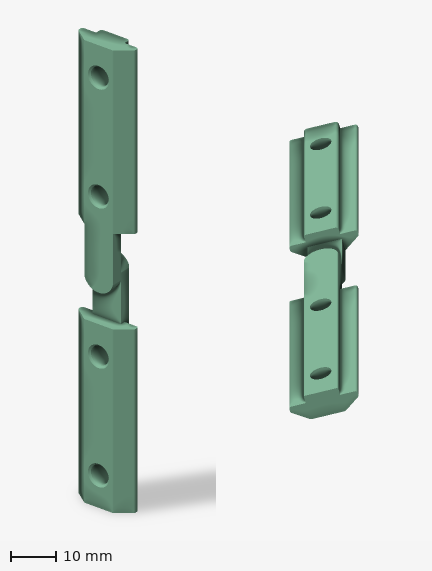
import cadquery as cq

TOTAL_LENGTH = 117.0
TOTAL_DEPTH = 6.2

RAIL_WIDTH = 15.8
TENON_WIDTH = 8.0
FRONT_WIDTH = TENON_WIDTH
BEVEL_DEPTH = 2.9
BASE_DEPTH = 4.3
BASE_FILLET = 0.6
UPPER_TENON_FILLET = 0.7
LOWER_TENON_FILLET = 0.4

RAIL_START = 12.0
SPLIT_DEPTH = 3.0
TONGUE_RADIUS = 4.1
PIN_DIAMETER = 3.0

HOLE_SPACING = 30.1
HOLE_DIAMETER = 4.9
HOLE_CHAMFER = 0.5

RAIL_END = TOTAL_LENGTH / 2
RAIL_MIDDLE = (RAIL_START + RAIL_END) / 2
HOLE_HEIGHTS = (RAIL_MIDDLE - HOLE_SPACING / 2, RAIL_MIDDLE + HOLE_SPACING / 2)


def block(width, y_min, y_max, z_min, z_max):
    """Rectangular block centred on X = 0."""
    size_y = y_max - y_min
    size_z = z_max - z_min
    corner_block = cq.Workplane("XY").box(width, size_y, size_z, centered=(True, False, False))
    return corner_block.translate((0, y_min, z_min))


def cylinders(diameter, y_min, y_max, heights):
    """Cylinders along Y at X = 0, one at each Z height."""
    start = cq.Workplane("XZ", origin=(0, y_min, 0))
    centres = [(0, z) for z in heights]
    return start.pushPoints(centres).circle(diameter / 2).extrude(y_min - y_max)


def section_bar(tenon_fillet):
    """Rail section run from the tip of the tongue to the end of the rail."""
    half_front = FRONT_WIDTH / 2
    half_rail = RAIL_WIDTH / 2
    base = (
        cq.Workplane("XY", origin=(0, 0, -TONGUE_RADIUS))
        .moveTo(-half_front, 0)
        .lineTo(half_front, 0)
        .lineTo(half_rail, BEVEL_DEPTH)
        .lineTo(half_rail, BASE_DEPTH)
        .lineTo(-half_rail, BASE_DEPTH)
        .lineTo(-half_rail, BEVEL_DEPTH)
        .close()
        .extrude(RAIL_END + TONGUE_RADIUS)
        .edges("|Z")
        .fillet(BASE_FILLET)
    )
    tenon = (
        block(TENON_WIDTH, SPLIT_DEPTH, TOTAL_DEPTH, -TONGUE_RADIUS, RAIL_END)
        .edges("|Z and >Y")
        .fillet(tenon_fillet)
    )
    return base.union(tenon)


def tongue_envelope(y_min, y_max):
    """Flat tongue as wide as the tenon, rounded about the hinge axis."""
    rounded_end = cylinders(2 * TONGUE_RADIUS, y_min, y_max, [0])
    shank = block(2 * TONGUE_RADIUS, y_min, y_max, 0, RAIL_START)
    sides = block(TENON_WIDTH, y_min, y_max, -TONGUE_RADIUS, RAIL_START)
    return rounded_end.union(shank).intersect(sides)


def fixing_holes():
    """Through holes, chamfered at the front face."""
    bores = cylinders(HOLE_DIAMETER, 0, TOTAL_DEPTH, HOLE_HEIGHTS)
    chamfers = (
        cq.Workplane("XZ")
        .pushPoints([(0, z) for z in HOLE_HEIGHTS])
        .circle(HOLE_DIAMETER / 2 + HOLE_CHAMFER)
        .extrude(-HOLE_CHAMFER, taper=45)
    )
    return bores.union(chamfers)


def hinge_pin():
    """Plain pin through both tongues."""
    return cylinders(PIN_DIAMETER, 0, TOTAL_DEPTH, [0])


def hinge_rail(tongue_y_min, tongue_y_max, tenon_fillet):
    """Rail that rises from the hinge, with its tongue in the given Y range."""
    rail_envelope = block(RAIL_WIDTH, 0, TOTAL_DEPTH, RAIL_START, RAIL_END)
    envelope = rail_envelope.union(tongue_envelope(tongue_y_min, tongue_y_max))
    return section_bar(tenon_fillet).intersect(envelope).cut(fixing_holes()).cut(hinge_pin())


upper_rail = hinge_rail(0, SPLIT_DEPTH, UPPER_TENON_FILLET)
lower_rail = hinge_rail(SPLIT_DEPTH, TOTAL_DEPTH, LOWER_TENON_FILLET).mirror("XY")
pin = hinge_pin()

result = cq.Compound.makeCompound([upper_rail.val(), lower_rail.val(), pin.val()])